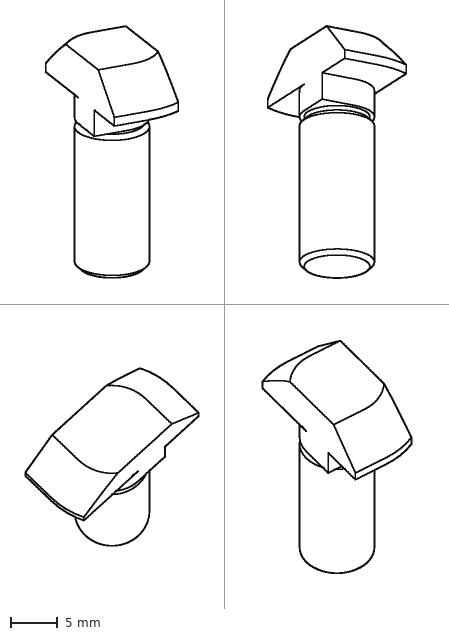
import cadquery as cq

total_height = 25.0
shank_diameter = 8.0
groove_diameter = 7.0
head_length = 18.0
head_height = 5.0
head_rim_height = 1.0
neck_height = 3.0
groove_height = 0.5
shank_chamfer = 0.5

shank_radius = shank_diameter / 2
head_radius = head_length / 2
head_slope = head_height - head_rim_height
head_top_radius = head_radius - head_slope
head_bottom = total_height - head_height
head_rim_top = head_bottom + head_rim_height
neck_bottom = head_bottom - neck_height
shank_length = neck_bottom - groove_height


def half_profile():
    """Neck and head outline in the XZ plane, from the axis outward."""
    return cq.Workplane("XZ").polyline([
        (0, neck_bottom),
        (shank_radius, neck_bottom),
        (shank_radius, head_bottom),
        (head_radius, head_bottom),
        (head_radius, head_rim_top),
        (head_top_radius, total_height),
        (0, total_height),
    ]).close()


def square_quarter():
    """Quarter of the neck and head with straight sides, at +X -Y."""
    return half_profile().extrude(shank_radius)


def rounded_quarter():
    """Quarter turned about the axis and cut flat at the head width, at +X +Y."""
    turned = half_profile().revolve(360, (0, 0, 0), (0, 1, 0))
    quadrant = cq.Workplane("XY").box(
        head_radius, shank_radius, total_height, centered=False
    )
    return turned.intersect(quadrant)


def shank():
    """Cylindrical shank chamfered at both ends."""
    return (
        cq.Workplane("XY")
        .circle(shank_radius)
        .extrude(shank_length)
        .faces("<Z or >Z")
        .chamfer(shank_chamfer)
    )


def groove_core():
    """Reduced diameter joining the shank to the neck."""
    return (
        cq.Workplane("XY", origin=(0, 0, shank_length))
        .circle(groove_diameter / 2)
        .extrude(groove_height)
    )


result = shank().union(groove_core())
for turn in (0, 180):
    for quarter in (square_quarter(), rounded_quarter()):
        result = result.union(quarter.rotate((0, 0, 0), (0, 0, 1), turn))
result = result.clean()